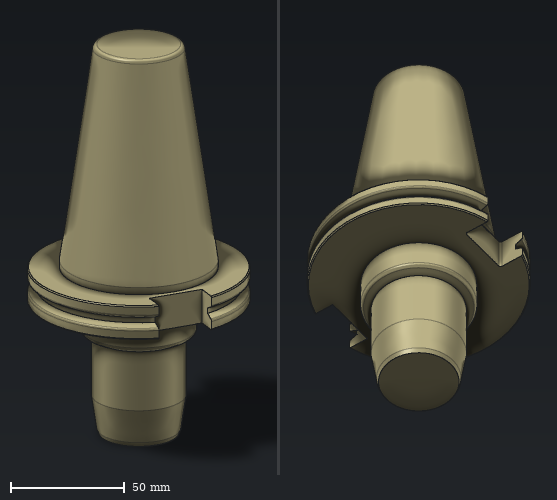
import cadquery as cq
import math

total_length = 182.6

tip_radius = 18.6
tip_chamfer_height = 2.2
tip_chamfer_width = 1.0
body_radius = 21.0
body_bottom = 18.0
body_top = 45.8
collar_radius = 25.5
collar_cone_angle = 25.0
collar_round = 2.2

flange_radius = 49.1
flange_bottom = 62.0
flange_top = 78.0
flange_chamfer = 0.5
groove_root_radius = 45.3
groove_center = 70.0
groove_root_width = 2.5
groove_flank_angle = 25.0
groove_mouth_round = 1.1

gauge_radius = 34.97
neck_height = 3.3
taper_ratio = 7 / 24
shank_round = 2.0

slot_width = 25.5
left_slot_floor = 35.0
right_slot_floor = 37.6
left_slot_corner_round = 1.0

flange_thickness = flange_top - flange_bottom
gauge_height = flange_top + neck_height
shank_top_radius = gauge_radius - (total_length - gauge_height) * taper_ratio / 2


def revolve_profile(points):
    """Revolve a closed (radius, height) outline about the Z axis."""
    return cq.Workplane("XZ").polyline(points).close().revolve(360, (0, 0), (0, 1))


def largest_circles_except(end):
    """Select the circles of largest radius, leaving out those at the given end."""
    return cq.selectors.RadiusNthSelector(-1) & cq.StringSyntaxSelector(f"not ({end})")


def make_nose():
    cone_height = (collar_radius - body_radius) * math.tan(math.radians(collar_cone_angle))
    nose = revolve_profile([
        (0, 0),
        (tip_radius - tip_chamfer_width, 0),
        (tip_radius, tip_chamfer_height),
        (body_radius, body_bottom),
        (body_radius, body_top),
        (collar_radius, body_top + cone_height),
        (collar_radius, flange_bottom),
        (0, flange_bottom),
    ])
    return nose.edges(largest_circles_except(">Z")).fillet(collar_round)


def make_flange():
    disc = cq.Workplane("XY", origin=(0, 0, flange_bottom)).circle(flange_radius).extrude(flange_thickness)
    root_half = groove_root_width / 2
    groove_depth = flange_radius - groove_root_radius
    mouth_half = root_half + groove_depth * math.tan(math.radians(groove_flank_angle))
    groove = revolve_profile([
        (groove_root_radius, groove_center - root_half),
        (flange_radius, groove_center - mouth_half),
        (flange_radius, groove_center + mouth_half),
        (groove_root_radius, groove_center + root_half),
    ])
    grooved = disc.cut(groove)
    rounded = grooved.edges(largest_circles_except(">Z or <Z")).fillet(groove_mouth_round)
    return rounded.edges(">Z or <Z").chamfer(flange_chamfer)


def make_slot(floor_distance, side):
    slot_length = flange_radius - floor_distance
    center_x = side * (floor_distance + slot_length / 2)
    return (
        cq.Workplane("XY", origin=(center_x, 0, flange_bottom))
        .rect(slot_length, slot_width)
        .extrude(flange_thickness)
    )


def make_shank():
    shank = revolve_profile([
        (0, flange_top),
        (gauge_radius, flange_top),
        (gauge_radius, gauge_height),
        (shank_top_radius, total_length),
        (0, total_length),
    ])
    return shank.edges(">Z").fillet(shank_round)


left_slot = make_slot(left_slot_floor, -1).edges("|Z and >X").fillet(left_slot_corner_round)
right_slot = make_slot(right_slot_floor, 1)
slotted_flange = make_flange().cut(left_slot).cut(right_slot)

result = make_nose().union(slotted_flange).union(make_shank())